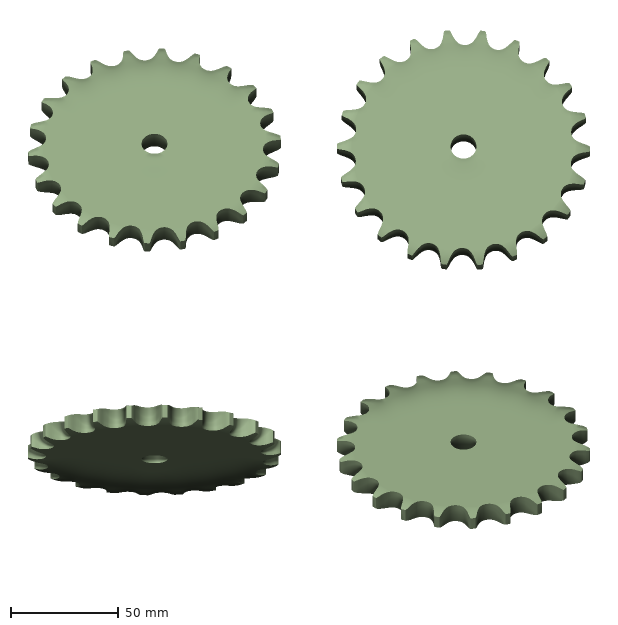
import cadquery as cq
import math

tooth_count = 22
outer_diameter = 118.0
pitch_diameter = 111.5
roller_diameter = 10.1
thickness = 9.1
bore_diameter = 12.0

relief_radius = 16.0
relief_depth = 1.5

seat_radius = 0.5025 * roller_diameter
seat_angle = math.radians(35 + 60 / tooth_count)
working_offset = 0.8 * roller_diameter
working_radius = seat_radius + working_offset
working_sweep = math.radians(18 - 56 / tooth_count)
topping_offset = 1.4 * roller_diameter
tooth_half_angle = math.pi / tooth_count
topping_end_angle = math.radians(120)

outer_radius = outer_diameter / 2
pitch_radius = pitch_diameter / 2
half_thickness = thickness / 2


def polar(center, radius, angle):
    return (center[0] + radius * math.cos(angle), center[1] + radius * math.sin(angle))


def mirrored(point):
    return (-point[0], point[1])


def make_blank():
    """Disc whose rim curves smoothly inwards on both faces."""
    relief_sweep = math.acos(1 - relief_depth / relief_radius)
    face_radius = outer_radius - relief_radius * math.sin(relief_sweep)
    relief_center = (face_radius, half_thickness - relief_radius)
    relief_middle = polar(relief_center, relief_radius, (math.pi - relief_sweep) / 2)
    tip_half_width = half_thickness - relief_depth
    return (
        cq.Workplane("XZ")
        .moveTo(0, -half_thickness)
        .lineTo(face_radius, -half_thickness)
        .threePointArc((relief_middle[0], -relief_middle[1]), (outer_radius, -tip_half_width))
        .lineTo(outer_radius, tip_half_width)
        .threePointArc(relief_middle, (face_radius, half_thickness))
        .lineTo(0, half_thickness)
        .close()
        .revolve(360, (0, 0, 0), (0, 1, 0))
    )


def make_tooth_gap():
    """Cutter for the gap between two teeth, opening towards +Y."""
    roller_center = (0, pitch_radius)
    seat_bottom = (0, pitch_radius - seat_radius)
    seat_end = polar(roller_center, seat_radius, -seat_angle)

    working_center = polar(roller_center, working_offset, math.pi - seat_angle)
    flank_angle = seat_angle - working_sweep
    working_middle = polar(working_center, working_radius, -seat_angle + working_sweep / 2)
    working_end = polar(working_center, working_radius, -flank_angle)

    topping_center = polar(roller_center, topping_offset, -tooth_half_angle)
    topping_start_angle = math.pi - flank_angle
    topping_radius = (
        working_offset * math.cos(working_sweep)
        + topping_offset * math.cos(flank_angle - tooth_half_angle)
        - working_radius
    )
    topping_middle_angle = (topping_start_angle + topping_end_angle) / 2
    topping_start = polar(topping_center, topping_radius, topping_start_angle)
    topping_middle = polar(topping_center, topping_radius, topping_middle_angle)
    topping_end = polar(topping_center, topping_radius, topping_end_angle)

    return (
        cq.Workplane("XY")
        .workplane(offset=-half_thickness)
        .moveTo(*mirrored(seat_end))
        .threePointArc(seat_bottom, seat_end)
        .threePointArc(working_middle, working_end)
        .lineTo(*topping_start)
        .threePointArc(topping_middle, topping_end)
        .lineTo(*mirrored(topping_end))
        .threePointArc(mirrored(topping_middle), mirrored(topping_start))
        .lineTo(*mirrored(working_end))
        .threePointArc(mirrored(working_middle), mirrored(seat_end))
        .close()
        .extrude(thickness)
    )


sprocket = make_blank()
tooth_gap = make_tooth_gap()
for index in range(tooth_count):
    sprocket = sprocket.cut(tooth_gap.rotate((0, 0, 0), (0, 0, 1), index * 360 / tooth_count))

result = sprocket.faces(">Z").workplane(origin=(0, 0, half_thickness)).hole(bore_diameter)